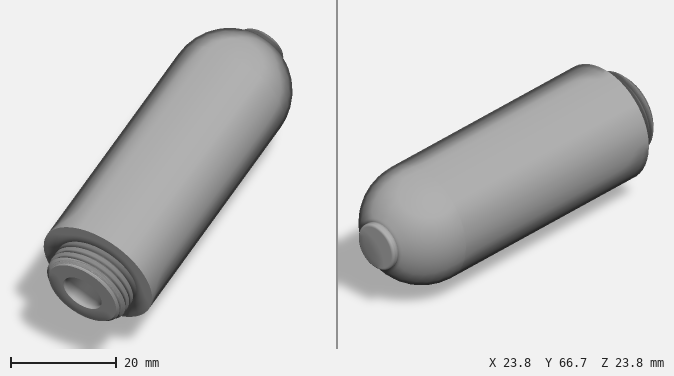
import cadquery as cq
import math

INCH = 25.4
FULL_TURN = 360

OVERALL_LENGTH = 66.67
BODY_DIAMETER = 23.8125
BOSS_LENGTH = 5.7
NECK_DIAMETER = 9.525
NECK_RIM_RADIUS = 0.5
NECK_TOP_ABOVE_DOME_BASE = 12.25
BORE_DIAMETER = 8.4
BORE_DEPTH = INCH

THREAD_MAJOR_DIAMETER = 17.1
THREADS_PER_INCH = 18
THREAD_PITCH = INCH / THREADS_PER_INCH
ROOT_FLAT = THREAD_PITCH / 8
FLANK_HALF_ANGLE = math.radians(30)
BOSS_END_DIAMETER = 14.8
CREST_CLEARANCE = 0.5

BODY_RADIUS = BODY_DIAMETER / 2
NECK_TOP_Y = OVERALL_LENGTH - BOSS_LENGTH
DOME_BASE_Y = NECK_TOP_Y - NECK_TOP_ABOVE_DOME_BASE

CREST_RADIUS = THREAD_MAJOR_DIAMETER / 2
FLANK_WIDTH = (THREAD_PITCH - ROOT_FLAT) / 2
FLANK_SWEEP = 2 * math.pi * FLANK_WIDTH / THREAD_PITCH
ROOT_RADIUS = CREST_RADIUS - FLANK_WIDTH / math.tan(FLANK_HALF_ANGLE)
BOSS_END_RADIUS = BOSS_END_DIAMETER / 2


def make_body():
    """Cylinder closed by a hemispherical dome that carries a short neck with a rounded rim."""
    neck_radius = NECK_DIAMETER / 2
    neck_base_y = DOME_BASE_Y + math.sqrt(BODY_RADIUS**2 - neck_radius**2)
    rim_angle = math.asin(neck_radius / BODY_RADIUS)
    middle_angle = (rim_angle + math.pi / 2) / 2
    dome_middle = (
        DOME_BASE_Y + BODY_RADIUS * math.cos(middle_angle),
        BODY_RADIUS * math.sin(middle_angle),
    )
    profile = (
        cq.Workplane("YZ")
        .lineTo(0, BODY_RADIUS)
        .lineTo(DOME_BASE_Y, BODY_RADIUS)
        .threePointArc(dome_middle, (neck_base_y, neck_radius))
        .lineTo(NECK_TOP_Y, neck_radius)
        .lineTo(NECK_TOP_Y, 0)
        .close()
    )
    body = profile.revolve(FULL_TURN, (0, 0), (1, 0))
    return body.faces(">Y").edges().fillet(NECK_RIM_RADIUS)


def flank_point(fraction, side):
    """Point on a thread flank in cross-section: fraction 0 is the crest, 1 is the root."""
    radius = CREST_RADIUS + fraction * (ROOT_RADIUS - CREST_RADIUS)
    angle = side * fraction * FLANK_SWEEP
    return (radius * math.cos(angle), radius * math.sin(angle))


def make_screw():
    """Threaded rod below the shoulder, made by twisting its cross-section along the axis.

    The cross-section is two mirrored spirals, one per flank, that meet at the crest
    and are joined at the root by an arc.
    """
    return (
        cq.Workplane("XZ")
        .moveTo(CREST_RADIUS, 0)
        .parametricCurve(lambda t: flank_point(t, 1), makeWire=False)
        .threePointArc((-ROOT_RADIUS, 0), flank_point(1, -1))
        .parametricCurve(lambda t: flank_point(1 - t, -1), makeWire=False)
        .wire()
        .twistExtrude(BOSS_LENGTH, FULL_TURN * BOSS_LENGTH / THREAD_PITCH)
    )


def make_boss_envelope():
    """Cylinder just clear of the thread crest, chamfered at 45 degrees down to the end face."""
    envelope_radius = CREST_RADIUS + CREST_CLEARANCE
    return (
        cq.Workplane("XZ")
        .circle(envelope_radius)
        .extrude(BOSS_LENGTH)
        .faces("<Y")
        .chamfer(envelope_radius - BOSS_END_RADIUS)
    )


def make_threaded_boss():
    """Screw thread trimmed by the chamfer at its free end."""
    return make_screw().intersect(make_boss_envelope())


def make_bore():
    """Flat-bottomed blind bore from the threaded end."""
    return (
        cq.Workplane("XZ", origin=(0, -BOSS_LENGTH, 0))
        .circle(BORE_DIAMETER / 2)
        .extrude(-BORE_DEPTH)
    )


result = make_body().union(make_threaded_boss()).cut(make_bore())